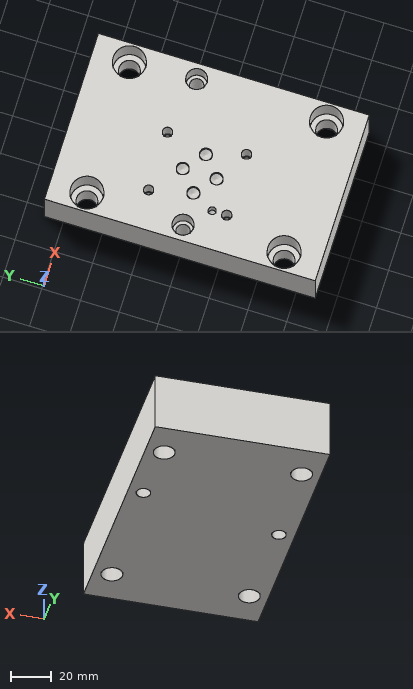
import cadquery as cq
import math

WIDTH = 88.9
LENGTH = 139.7
HEIGHT = 31.75

MOUNT_SPACING_X = 69.85
MOUNT_SPACING_Y = 101.6
MOUNT_DIAMETER = 10.72
MOUNT_COUNTERBORE_DIAMETER = 16.66
MOUNT_COUNTERBORE_DEPTH = 16.0

SIDE_HOLE_POSITIONS = [(-36.5, 0.79), (36.525, 16.66)]
SIDE_HOLE_DIAMETER = 7.14
SIDE_COUNTERBORE_DIAMETER = 10.72
SIDE_COUNTERBORE_DEPTH = 12.0

VALVE_ORIGIN_X = 6.35
VALVE_ORIGIN_Y = 22.225
BOLT_OFFSETS = [(0, 0), (40.49, -0.79), (40.49, 31.75), (0, 30.96)]
PORT_OFFSETS = [(21.43, 5.16), (12.7, 15.48), (21.43, 25.8), (30.16, 15.48)]
PIN_OFFSET = (33.0, 31.75)

BOLT_DRILL_DIAMETER = 4.14
BOLT_DRILL_DEPTH = 17.0
BOLT_THREAD_DIAMETER = 5.0
BOLT_THREAD_DEPTH = 12.0
PORT_DIAMETER = 6.35
PORT_DEPTH = 1.85
PIN_DIAMETER = 3.96
PIN_DEPTH = 6.0
DRILL_POINT_ANGLE = 118.0


def cylinder_from_top(position, diameter, depth):
    """Cylinder reaching down from the top face."""
    x, y = position
    return cq.Workplane("XY", origin=(x, y, HEIGHT)).circle(diameter / 2).extrude(-depth)


def counterbored_hole(position, diameter, bore_diameter, bore_depth):
    """Through hole with a counterbore in the top face."""
    through = cylinder_from_top(position, diameter, HEIGHT)
    return through.union(cylinder_from_top(position, bore_diameter, bore_depth))


def drilled_hole(position, diameter, depth):
    """Blind hole with a conical bottom; depth is that of its straight wall."""
    x, y = position
    radius = diameter / 2
    point_depth = radius / math.tan(math.radians(DRILL_POINT_ANGLE / 2))
    profile = (
        cq.Workplane("XZ")
        .polyline([(0, 0), (radius, 0), (radius, -depth), (0, -depth - point_depth)])
        .close()
    )
    return profile.revolve(360, (0, 0, 0), (0, 1, 0)).translate((x, y, HEIGHT))


def bolt_hole(position):
    """Tapped hole: thread-diameter bore over a deeper tapping drill."""
    drill = drilled_hole(position, BOLT_DRILL_DIAMETER, BOLT_DRILL_DEPTH)
    return drill.union(cylinder_from_top(position, BOLT_THREAD_DIAMETER, BOLT_THREAD_DEPTH))


def valve_position(offset):
    """Block coordinates of a point of the valve interface."""
    along, across = offset
    return (VALVE_ORIGIN_X - across, VALVE_ORIGIN_Y - along)


result = cq.Workplane("XY").box(WIDTH, LENGTH, HEIGHT, centered=(True, True, False))

for side_x in (-1, 1):
    for side_y in (-1, 1):
        corner = (side_x * MOUNT_SPACING_X / 2, side_y * MOUNT_SPACING_Y / 2)
        result = result.cut(
            counterbored_hole(
                corner, MOUNT_DIAMETER, MOUNT_COUNTERBORE_DIAMETER, MOUNT_COUNTERBORE_DEPTH
            )
        )

for position in SIDE_HOLE_POSITIONS:
    result = result.cut(
        counterbored_hole(
            position, SIDE_HOLE_DIAMETER, SIDE_COUNTERBORE_DIAMETER, SIDE_COUNTERBORE_DEPTH
        )
    )

for offset in BOLT_OFFSETS:
    result = result.cut(bolt_hole(valve_position(offset)))
for offset in PORT_OFFSETS:
    result = result.cut(drilled_hole(valve_position(offset), PORT_DIAMETER, PORT_DEPTH))
result = result.cut(drilled_hole(valve_position(PIN_OFFSET), PIN_DIAMETER, PIN_DEPTH))